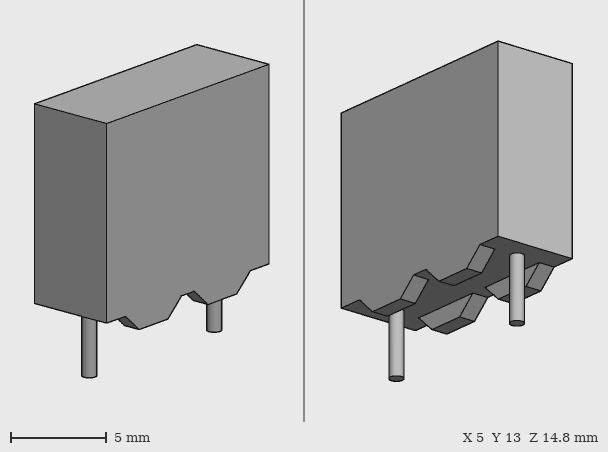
import cadquery as cq

total_height = 14.81
body_width = 5.0
body_length = 13.0
pin_length = 3.8
body_height = total_height - pin_length

pin_diameter = 0.8
pin_spacing = 10.0

foot_height = 1.0
foot_thickness = 1.0
foot_gap = 1.0
foot_run = 1.1
foot_inner = foot_gap / 2
foot_outer = pin_spacing / 2


def make_body():
    return cq.Workplane("XY").box(body_width, body_length, body_height, centered=(True, True, False))


def make_foot(x_start, y_side):
    """Trapezoidal foot hanging below the body, on the +Y or -Y half."""
    profile = [
        (y_side * foot_inner, 0),
        (y_side * foot_outer, 0),
        (y_side * (foot_outer - foot_run), -foot_height),
        (y_side * (foot_inner + foot_run), -foot_height),
    ]
    return (
        cq.Workplane("YZ", origin=(x_start, 0, 0))
        .polyline(profile)
        .close()
        .extrude(foot_thickness)
    )


def make_pin(y_side):
    return (
        cq.Workplane("XY")
        .center(0, y_side * pin_spacing / 2)
        .circle(pin_diameter / 2)
        .extrude(-pin_length)
    )


result = make_body()
for y_side in (-1, 1):
    result = result.union(make_pin(y_side))
    for x_start in (-body_width / 2, body_width / 2 - foot_thickness):
        result = result.union(make_foot(x_start, y_side))